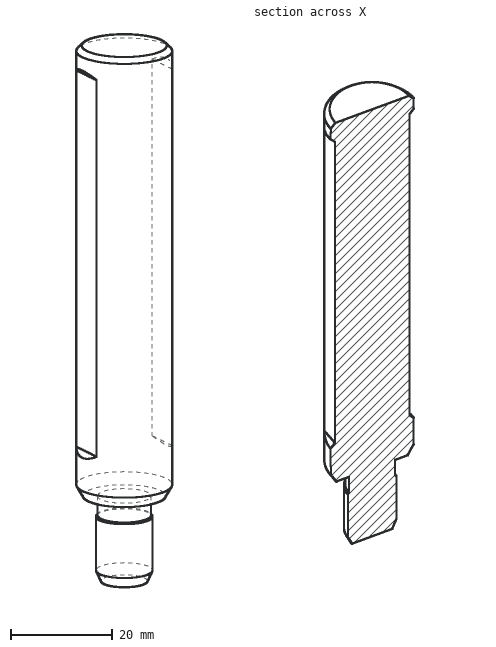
import cadquery as cq

total_height = 110.0
body_radius = 19.0 / 2
top_chamfer = 1.1

shoulder_height = 17.5
lower_chamfer_height = 2.3
lower_chamfer_depth = 1.3

spigot_radius = 11.2 / 2
neck_radius = 10.7 / 2
neck_start = 13.5
tip_chamfer_height = 2.2
tip_chamfer_depth = 1.0

flat_bottom = 27.7
flat_top = 105.0
flat_depth = 1.0
ramp_length = 1.1


def turned_pin():
    """Solid of revolution: chamfered body, neck and spigot."""
    profile = [
        (0, 0),
        (spigot_radius - tip_chamfer_depth, 0),
        (spigot_radius, tip_chamfer_height),
        (spigot_radius, neck_start - (spigot_radius - neck_radius)),
        (neck_radius, neck_start),
        (neck_radius, shoulder_height),
        (body_radius - lower_chamfer_depth, shoulder_height),
        (body_radius, shoulder_height + lower_chamfer_height),
        (body_radius, total_height - top_chamfer),
        (body_radius - top_chamfer, total_height),
        (0, total_height),
    ]
    return cq.Workplane("XZ").polyline(profile).close().revolve(360, (0, 0, 0), (0, 1, 0))


def flat_cutter(side):
    """Trapezoidal bar that mills one flat; side is -1 or 1 along Y."""
    floor = side * (body_radius - flat_depth)
    rim = side * body_radius
    return (
        cq.Workplane("YZ")
        .moveTo(floor, flat_bottom)
        .lineTo(rim, flat_bottom - ramp_length)
        .lineTo(rim, flat_top + ramp_length)
        .lineTo(floor, flat_top)
        .close()
        .extrude(body_radius, both=True)
    )


result = turned_pin()
for side in (-1, 1):
    result = result.cut(flat_cutter(side))